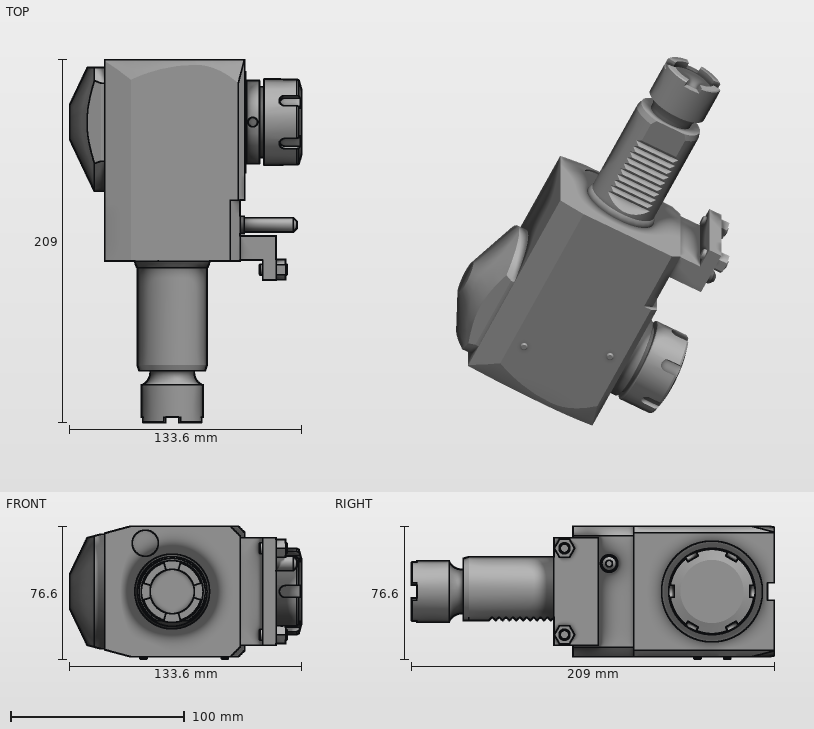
import cadquery as cq
import math


block_left = -38.9
block_right = 41.8
block_back = 116.0
block_half_height = 37.6
taper_angle = 15.0
taper_length = 15.0
taper_drop = taper_length * math.tan(math.radians(taper_angle))
left_half_height = block_half_height - taper_drop
right_chamfer = 3.8
step_right = 39.0
step_back = 35.1
step_chamfer = 5.6

crown_slope = 0.21
crown_peak_x = 13.4
crown_peak_z = 37.0
crown_left_drop = 3.5
crown_right_drop = 3.0

rear_slot_width = 10.0
rear_slot_depth = 4.0
plug_x = -15.5
plug_z = 27.8
plug_radius = 7.5
plug_depth = 1.0
stop_pin_places = [(-16.5, 88.8), (30.3, 71.7)]
stop_pin_radius = 2.0
stop_pin_chamfer = 0.6
stop_pin_bottom = -39.0

spindle_y = 80.0

cover_left = -59.0
cover_tip_radius = 10.0
cover_radius = 40.0
cover_cone_base = -44.7
cover_rear_reach = 31.5
cover_lip = 2.0

washer_radius = 29.0
washer_right = 42.5
collar_radius = 24.0
collar_right = 50.4
neck_radius = 20.5
nut_left = 52.7
nut_radius = 24.9
nut_right = 74.6
nut_cone_length = 1.7
nut_rim_length = 1.3
nut_rim_bevel = 0.6
edge_bevel = 0.5
nut_face_radius = 18.2
nut_slot_count = 6
nut_slot_width = 7.0
nut_slot_left = 61.7
nut_slot_depth = 3.1
collar_hole_x = 46.5
collar_hole_radius = 2.7
collar_hole_depth = 3.1

pin_y = 21.0
pin_z = 16.0
pin_radius = 4.2
pin_collar_radius = 5.0
pin_collar_length = 2.5
pin_right = 72.0
pin_chamfer = 2.3

bracket_half_height = 31.0
bracket_back = 14.6
bracket_front = 0.6
bracket_tip = -10.9
bracket_right = 59.8
bracket_leg = 7.7
bolt_y = -4.8
bolt_z = 24.9
bolt_head_length = 5.5
bolt_head_across_corners = 11.7
bolt_radius = 3.1
bolt_tip_left = 50.2
bolt_tip_right = 66.3
bolt_tip_chamfer = 0.6

flange_radius = 21.5
shank_start = 3.8
shank_radius = 20.0
shank_end = 63.1
shank_chamfer_length = 3.3
shank_chamfer = 1.0
drive_neck_radius = 12.7
drive_neck_end = 64.0
flare_radius = 17.1
head_radius = 17.8
head_start = 71.0
head_end = 93.0
head_chamfer = 0.6
drive_slot_depth = 3.3
drive_recess_depth = 4.0
drive_recess_radius = 12.7
drive_slot_count = 4
drive_slot_inner_width = 7.3
drive_slot_outer_width = 10.2

rack_z = -16.7
rack_start = 10.7
tooth_pitch = 4.0
tooth_count = 9
tooth_depth = 1.9


def cylinder_x(left, right, radius, y, z):
    """Cylinder along X."""
    return cq.Workplane("YZ", origin=(left, y, z)).circle(radius).extrude(right - left)


def turned_x(profile, y, z):
    """Solid turned about an X-parallel axis from (x, radius) points starting and ending on the axis."""
    plane = cq.Plane(origin=(0, y, z), xDir=(1, 0, 0), normal=(0, 0, 1))
    return cq.Workplane(plane).polyline(profile).close().revolve(360, (0, 0, 0), (1, 0, 0))


def tangent_radius(run, drop):
    """Radius of an arc that starts level and falls by drop over run."""
    return (run**2 + drop**2) / (2 * drop)


def make_crown_cutter():
    """Oblique prism above the crowned rear edge, rising toward the shank side."""
    left_run = crown_peak_x - block_left
    right_run = block_right - crown_peak_x
    ceiling = 2 * block_half_height
    profile = (
        cq.Workplane("XZ", origin=(0, block_back, 0))
        .moveTo(block_left, crown_peak_z - crown_left_drop)
        .radiusArc((crown_peak_x, crown_peak_z), tangent_radius(left_run, crown_left_drop))
        .radiusArc(
            (block_right, crown_peak_z - crown_right_drop),
            tangent_radius(right_run, crown_right_drop),
        )
        .lineTo(block_right, ceiling)
        .lineTo(block_left, ceiling)
        .close()
    )
    length = block_back - step_back
    direction = cq.Vector(0, -length, length * crown_slope)
    return cq.Workplane(cq.Solid.extrudeLinear(profile.val(), [], direction))


def block_section(right, chamfer, front, back):
    """Prism of the tapered block outline between two Y positions."""
    upper = [
        (block_left, left_half_height),
        (block_left + taper_length, block_half_height),
        (right - chamfer, block_half_height),
        (right, block_half_height - chamfer),
    ]
    lower = [(x, -z) for x, z in reversed(upper)]
    return cq.Workplane("XZ", origin=(0, back, 0)).polyline(upper + lower).close().extrude(back - front)


def make_block():
    front_part = block_section(step_right, step_chamfer, 0, step_back)
    rear_part = block_section(block_right, right_chamfer, step_back, block_back)
    crown = make_crown_cutter()
    rear_part = rear_part.cut(crown).cut(crown.mirror("XY"))
    block = front_part.union(rear_part)

    width = block_right - block_left
    rear_slot = cq.Workplane("XY").box(width, 2 * rear_slot_depth, rear_slot_width)
    block = block.cut(rear_slot.translate(((block_left + block_right) / 2, block_back, 0)))

    plug = cq.Workplane("XZ", origin=(plug_x, 0, plug_z)).circle(plug_radius).extrude(-plug_depth)
    return block.cut(plug)


def make_stop_pins():
    height = -stop_pin_bottom
    pins = cq.Workplane("XY", origin=(0, 0, stop_pin_bottom)).pushPoints(stop_pin_places)
    return pins.circle(stop_pin_radius).extrude(height).faces("<Z").chamfer(stop_pin_chamfer)


def make_cover():
    cone = turned_x(
        [
            (cover_left, 0),
            (cover_left, cover_tip_radius),
            (cover_cone_base, cover_radius),
            (block_left, cover_radius),
            (block_left, 0),
        ],
        spindle_y,
        0,
    )
    slope = math.tan(math.radians(taper_angle))
    lip_height = left_half_height - cover_lip * slope
    tip_height = left_half_height - (block_left - cover_left) * slope
    upper = [(cover_left, tip_height), (block_left - cover_lip, lip_height), (block_left, lip_height)]
    lower = [(x, -z) for x, z in reversed(upper)]
    envelope_back = spindle_y + cover_rear_reach
    envelope = cq.Workplane("XZ", origin=(0, envelope_back, 0)).polyline(upper + lower).close()
    return cone.intersect(envelope.extrude(cover_rear_reach + cover_radius))


def make_spindle():
    nut_rim = nut_right - nut_cone_length
    spindle = turned_x(
        [
            (block_right, 0),
            (block_right, washer_radius),
            (washer_right, washer_radius),
            (washer_right, collar_radius - edge_bevel),
            (washer_right + edge_bevel, collar_radius),
            (collar_right - edge_bevel, collar_radius),
            (collar_right, collar_radius - edge_bevel),
            (collar_right, neck_radius),
            (nut_left, neck_radius),
            (nut_left, nut_radius - edge_bevel),
            (nut_left + edge_bevel, nut_radius),
            (nut_rim - nut_rim_length, nut_radius),
            (nut_rim, nut_radius - nut_rim_bevel),
            (nut_right, nut_face_radius),
            (nut_right, 0),
        ],
        spindle_y,
        0,
    )
    slot_center = nut_slot_left + nut_slot_width / 2
    slot_floor = nut_radius - nut_slot_depth
    slot = (
        cq.Workplane("XY", origin=(0, spindle_y, slot_floor))
        .moveTo(nut_right, -nut_slot_width / 2)
        .lineTo(slot_center, -nut_slot_width / 2)
        .threePointArc((nut_slot_left, 0), (slot_center, nut_slot_width / 2))
        .lineTo(nut_right, nut_slot_width / 2)
        .close()
        .extrude(2 * nut_slot_depth)
    )
    for index in range(nut_slot_count):
        angle = 360 / nut_slot_count * (index + 0.5)
        spindle = spindle.cut(slot.rotate((0, spindle_y, 0), (1, spindle_y, 0), angle))

    hole_floor = collar_radius - collar_hole_depth
    hole = cq.Workplane("XY", origin=(collar_hole_x, spindle_y, hole_floor)).circle(collar_hole_radius)
    return spindle.cut(hole.extrude(2 * collar_hole_depth))


def make_locating_pin():
    collar = cylinder_x(step_right, step_right + pin_collar_length, pin_collar_radius, pin_y, pin_z)
    pin = cylinder_x(step_right, pin_right, pin_radius, pin_y, pin_z).faces(">X").chamfer(pin_chamfer)
    return collar.union(pin)


def make_bracket():
    leg_left = bracket_right - bracket_leg
    outline = [
        (step_right, bracket_front),
        (leg_left, bracket_front),
        (leg_left, bracket_tip),
        (bracket_right, bracket_tip),
        (bracket_right, bracket_back),
        (step_right, bracket_back),
    ]
    bracket = cq.Workplane("XY", origin=(0, 0, -bracket_half_height)).polyline(outline).close()
    bracket = bracket.extrude(2 * bracket_half_height)
    for z in (-bolt_z, bolt_z):
        screw = cylinder_x(bolt_tip_left, bolt_tip_right, bolt_radius, bolt_y, z)
        screw = screw.faces("<X or >X").chamfer(bolt_tip_chamfer)
        head = cq.Workplane("YZ", origin=(bracket_right, bolt_y, z)).polygon(6, bolt_head_across_corners)
        bracket = bracket.union(screw).union(head.extrude(bolt_head_length))
    return bracket


def make_shank():
    """Shank, neck and head turned about the Y axis; the profile runs toward -Y."""
    flange_curve = tangent_radius(shank_start, flange_radius - shank_radius)
    flare_curve = tangent_radius(head_start - drive_neck_end, flare_radius - drive_neck_radius)
    return (
        cq.Workplane("XY")
        .moveTo(0, 0)
        .lineTo(flange_radius, 0)
        .radiusArc((shank_radius, -shank_start), flange_curve)
        .lineTo(shank_radius, -(shank_end - shank_chamfer_length))
        .lineTo(shank_radius - shank_chamfer, -shank_end)
        .lineTo(drive_neck_radius, -shank_end)
        .lineTo(drive_neck_radius, -drive_neck_end)
        .radiusArc((flare_radius, -head_start), -flare_curve)
        .lineTo(head_radius, -head_start)
        .lineTo(head_radius, -(head_end - head_chamfer))
        .lineTo(head_radius - head_chamfer, -head_end)
        .lineTo(0, -head_end)
        .close()
        .revolve(360, (0, 0, 0), (0, 1, 0))
    )


def make_rack_cutter():
    """Side profile of the flat and its V-shaped tooth gaps, cut across the shank."""
    gap_bottom = rack_z + tooth_depth
    below = -2 * shank_radius
    ramp = gap_bottom - below
    points = [(-rack_start + ramp, below), (-rack_start, gap_bottom)]
    for index in range(tooth_count):
        tip = -rack_start - (index + 0.5) * tooth_pitch
        points += [(tip, rack_z), (tip - tooth_pitch / 2, gap_bottom)]
    points += [(points[-1][0] - tooth_pitch / 2, rack_z), (-shank_end, rack_z), (-shank_end, below)]
    profile = cq.Workplane("YZ", origin=(-shank_radius, 0, 0)).polyline(points).close()
    return profile.extrude(2 * shank_radius)


def make_drive_cutter():
    """Face recess with radial slots in the end of the drive head."""
    recess_floor = cq.Workplane("XZ", origin=(0, drive_recess_depth - head_end, 0))
    cutter = recess_floor.circle(drive_recess_radius).extrude(drive_recess_depth)
    slot_floor = cq.Workplane("XZ", origin=(0, drive_slot_depth - head_end, 0))
    inner = drive_slot_inner_width / 2
    outer = drive_slot_outer_width / 2
    slot = slot_floor.polyline(
        [(0, -inner), (drive_recess_radius, -inner), (head_radius, -outer),
         (head_radius, outer), (drive_recess_radius, inner), (0, inner)]
    )
    slot = slot.close().extrude(drive_slot_depth)
    for index in range(drive_slot_count):
        cutter = cutter.union(slot.rotate((0, 0, 0), (0, 1, 0), 360 / drive_slot_count * index))
    return cutter


shank = make_shank().cut(make_rack_cutter()).cut(make_drive_cutter())

result = (
    make_block()
    .union(make_stop_pins())
    .union(make_cover())
    .union(make_spindle())
    .union(make_locating_pin())
    .union(make_bracket())
    .union(shank)
)